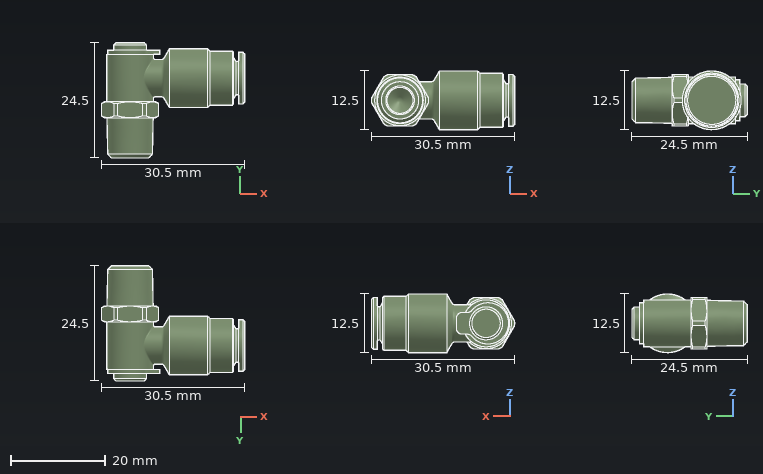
import cadquery as cq
import math


body_radius = 5.0
body_top = 5.05
hex_top = -4.95
hex_height = 3.47
hex_flats = 11.0
hex_corner_radius = 6.1
hex_bevel_radius = 5.4
hex_bevel_angle = 30
thread_end = -16.95
thread_root_radius = 4.93
thread_tip_radius = 4.78
thread_chamfer = 0.82

bore_radius = 2.77
bore_chamfer = 0.27
drill_point_angle = 120

pin_radius = 3.5
pin_top = 7.55
pin_chamfer = 0.5
clip_thickness = 0.9
clip_radius = 4.38
clip_center_x = -0.4
tab_end = 6.33
tab_width = 4.63
tab_corner_radius = 1.28
tab_root_radius = 1.2

neck_radius = 4.0
neck_blend = 0.3
shoulder_blend = 0.6
socket_diameter = 12.5
socket_radius = socket_diameter / 2
shoulder_end = 8.35
shoulder_angle = 60
socket_end = 16.47
socket_step = 0.5
sleeve_end = 22.0
sleeve_chamfer = 0.3
sleeve_mouth_radius = 4.38

collar_radius = 3.55
collar_start = 22.5
collar_blend = 0.25
ring_start = 23.07
ring_end = 24.35
ring_radius = 5.5
ring_chamfer = 0.4

margin = 0.03


def turned_about_y(profile):
    """Solid of revolution about Y from (radius, y) points."""
    return cq.Workplane("XY").polyline(profile).close().revolve(360, (0, 0), (0, 1))


def turned_about_x(profile):
    """Solid of revolution about X from (x, radius) points."""
    return cq.Workplane("XY").polyline(profile).close().revolve(360, (0, 0), (1, 0))


def make_body_and_neck():
    body = turned_about_y([(0, hex_top), (body_radius, hex_top), (body_radius, body_top), (0, body_top)])
    neck_end = (shoulder_end + socket_end) / 2
    neck = turned_about_x([(0, 0), (0, neck_radius), (neck_end, neck_radius), (neck_end, 0)])
    shoulder_rise = socket_radius - neck_radius
    shoulder_start = shoulder_end - shoulder_rise / math.tan(math.radians(shoulder_angle))
    shoulder = turned_about_x([
        (shoulder_start, 0),
        (shoulder_start, neck_radius),
        (shoulder_end, socket_radius),
        (neck_end, socket_radius),
        (neck_end, 0),
    ])
    joined = body.union(neck).union(shoulder)
    around_joint = cq.selectors.BoxSelector(
        (margin, hex_top + margin, -body_radius),
        (body_radius + margin, body_top - margin, body_radius),
        boundingbox=True,
    )
    around_shoulder = cq.selectors.BoxSelector(
        (shoulder_start - margin, -socket_radius, -socket_radius),
        (shoulder_start + margin, socket_radius, socket_radius),
        boundingbox=True,
    )
    joined = joined.edges(around_joint).fillet(neck_blend)
    return joined.edges(around_shoulder).fillet(shoulder_blend)


def make_socket():
    sleeve_radius = socket_radius - socket_step
    return turned_about_x([
        (shoulder_end, 0),
        (shoulder_end, socket_radius),
        (socket_end, socket_radius),
        (socket_end + socket_step, sleeve_radius),
        (sleeve_end - sleeve_chamfer, sleeve_radius),
        (sleeve_end, sleeve_radius - sleeve_chamfer),
        (sleeve_end, sleeve_mouth_radius),
        (collar_start, collar_radius),
        (collar_start, 0),
    ])


def make_release_collar():
    blend_mid = collar_blend * math.sqrt(0.5)
    blend_x = ring_start - collar_blend
    blend_radius = collar_radius + collar_blend
    return (
        cq.Workplane("XY")
        .moveTo(collar_start, 0)
        .lineTo(collar_start, collar_radius)
        .lineTo(blend_x, collar_radius)
        .threePointArc((blend_x + blend_mid, blend_radius - blend_mid), (ring_start, blend_radius))
        .lineTo(ring_start, ring_radius)
        .lineTo(ring_end - ring_chamfer, ring_radius)
        .lineTo(ring_end, ring_radius - ring_chamfer)
        .lineTo(ring_end, 0)
        .close()
        .revolve(360, (0, 0), (1, 0))
    )


def make_hexagon():
    hex_bottom = hex_top - hex_height
    corner_diameter = hex_flats / math.cos(math.pi / 6)
    prism = cq.Workplane("XZ").workplane(offset=-hex_top).polygon(6, corner_diameter).extrude(hex_height)
    bevel = (hex_corner_radius - hex_bevel_radius) * math.tan(math.radians(hex_bevel_angle))
    envelope = turned_about_y([
        (0, hex_bottom),
        (hex_bevel_radius, hex_bottom),
        (hex_corner_radius, hex_bottom + bevel),
        (hex_corner_radius, hex_top - bevel),
        (hex_bevel_radius, hex_top),
        (0, hex_top),
    ])
    return prism.intersect(envelope)


def make_threaded_end():
    thread_start = hex_top - hex_height
    return turned_about_y([
        (0, thread_start),
        (thread_root_radius, thread_start),
        (thread_tip_radius, thread_end + thread_chamfer),
        (thread_tip_radius - thread_chamfer, thread_end),
        (0, thread_end),
    ])


def make_bore():
    """Blind bore whose drill point reaches the socket axis."""
    point_height = bore_radius / math.tan(math.radians(drill_point_angle / 2))
    return turned_about_y([
        (0, thread_end),
        (bore_radius + bore_chamfer, thread_end),
        (bore_radius, thread_end + bore_chamfer),
        (bore_radius, -point_height),
        (0, 0),
    ])


def make_pin():
    return turned_about_y([
        (0, body_top),
        (pin_radius, body_top),
        (pin_radius, pin_top - pin_chamfer),
        (pin_radius - pin_chamfer, pin_top),
        (0, pin_top),
    ])


def make_clip():
    """Flat round clip with a rounded tab reaching over the neck."""
    disc = turned_about_y([
        (0, body_top),
        (clip_radius, body_top),
        (clip_radius, body_top + clip_thickness),
        (0, body_top + clip_thickness),
    ]).translate((clip_center_x, 0, 0))
    tab = cq.Workplane("XY").box(
        tab_end - clip_center_x, clip_thickness, tab_width, centered=(False, False, True)
    ).translate((clip_center_x, body_top, 0))
    tab = tab.edges("|Y and >X").fillet(tab_corner_radius)
    clip = disc.union(tab)
    root_x = clip_center_x + math.sqrt(clip_radius**2 - (tab_width / 2) ** 2)
    at_root = cq.selectors.BoxSelector(
        (root_x - margin, body_top, -tab_width),
        (root_x + margin, body_top + clip_thickness, tab_width),
    )
    return clip.edges("|Y").edges(at_root).fillet(tab_root_radius)


result = (
    make_body_and_neck()
    .union(make_socket())
    .union(make_release_collar())
    .union(make_hexagon())
    .union(make_threaded_end())
    .union(make_pin())
    .union(make_clip())
    .cut(make_bore())
)